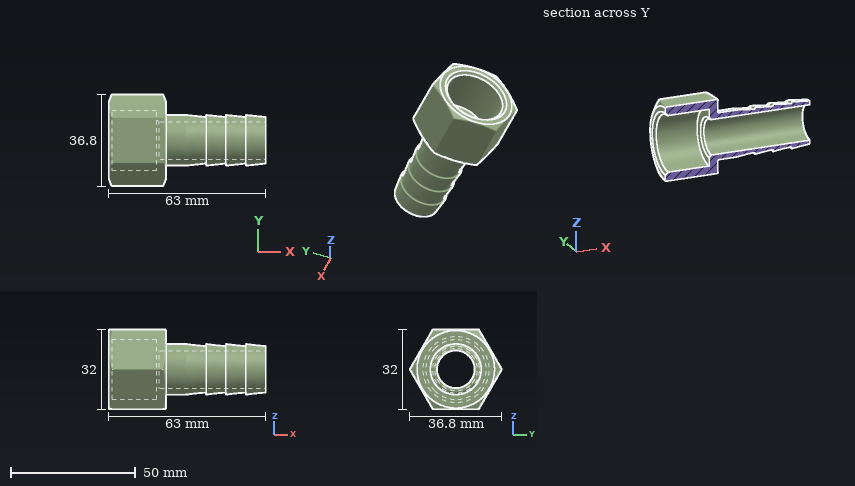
import cadquery as cq
import math


hex_sides = 6
hex_length = 23.0
across_flats = 32.0
corner_radius = 0.6
face_circle_diameter = 31.1
head_chamfer_angle = 22.0
head_edge_radius = 0.6

tail_diameter = 20.4
barb_root_diameter = 18.7
neck_length = 8.0
barb_pitch = 8.0
barb_count = 4
crest_fillet_radius = 0.2
root_fillet_radius = 0.4
neck_fillet_radius = 0.4
end_fillet_radius = 0.5

socket_diameter = 24.1
socket_mouth_diameter = 26.5
socket_depth = 19.0
bore_diameter = 15.0
bore_mouth_diameter = 17.0

selection_margin = 0.05

across_corners = across_flats / math.cos(math.pi / hex_sides)
crest_radius = tail_diameter / 2
root_radius = barb_root_diameter / 2
tail_start = hex_length + neck_length
total_length = tail_start + barb_count * barb_pitch


def revolve_about_x(outline):
    """Revolve (x, radius) points a full turn about the X axis."""
    return cq.Workplane("XY").polyline(outline).close().revolve(360, (0, 0, 0), (1, 0, 0))


def make_head():
    """Hexagon with two horizontal flats, rounded corners and coned ends."""
    prism = cq.Workplane("YZ").polygon(hex_sides, across_corners).extrude(hex_length)
    prism = prism.edges("|X").fillet(corner_radius)

    face_radius = face_circle_diameter / 2
    envelope_radius = across_corners / 2
    cone_depth = (envelope_radius - face_radius) * math.tan(math.radians(head_chamfer_angle))
    envelope = revolve_about_x([
        (0, 0),
        (0, face_radius),
        (cone_depth, envelope_radius),
        (hex_length - cone_depth, envelope_radius),
        (hex_length, face_radius),
        (hex_length, 0),
    ])
    head = prism.intersect(envelope)
    cone_edges = head.edges("not(|X or %CIRCLE)")
    return cone_edges.fillet(head_edge_radius)


def make_tail():
    """Plain neck followed by identical barbs that taper towards the free end."""
    outline = [(0, 0), (0, crest_radius)]
    for barb in range(barb_count):
        barb_start = tail_start + barb * barb_pitch
        outline.append((barb_start, crest_radius))
        outline.append((barb_start + barb_pitch, root_radius))
    outline.append((total_length, 0))
    return revolve_about_x(outline)


def ring_selector(x, radius):
    """Select the circular edge of given radius around the X axis at position x."""
    half = radius + selection_margin
    outer = cq.selectors.BoxSelector(
        (x - selection_margin, -half, -half),
        (x + selection_margin, half, half),
        boundingbox=True,
    )
    inside = radius - selection_margin
    inner = cq.selectors.BoxSelector(
        (x - selection_margin, -inside, -inside),
        (x + selection_margin, inside, inside),
        boundingbox=True,
    )
    return outer - inner


def round_tail(body):
    """Round the neck base, the barb roots and crests, and the free end."""
    body = body.edges(ring_selector(hex_length, crest_radius)).fillet(neck_fillet_radius)
    for barb in range(1, barb_count):
        barb_start = tail_start + barb * barb_pitch
        body = body.edges(ring_selector(barb_start, root_radius)).fillet(root_fillet_radius)
        body = body.edges(ring_selector(barb_start, crest_radius)).fillet(crest_fillet_radius)
    return body.edges(ring_selector(total_length, root_radius)).fillet(end_fillet_radius)


def make_bore():
    """Socket and through bore, each with a 45 degree mouth chamfer."""
    socket_chamfer = (socket_mouth_diameter - socket_diameter) / 2
    bore_chamfer = (bore_mouth_diameter - bore_diameter) / 2
    return revolve_about_x([
        (0, 0),
        (0, socket_mouth_diameter / 2),
        (socket_chamfer, socket_diameter / 2),
        (socket_depth, socket_diameter / 2),
        (socket_depth, bore_mouth_diameter / 2),
        (socket_depth + bore_chamfer, bore_diameter / 2),
        (total_length, bore_diameter / 2),
        (total_length, 0),
    ])


result = round_tail(make_head().union(make_tail())).cut(make_bore())